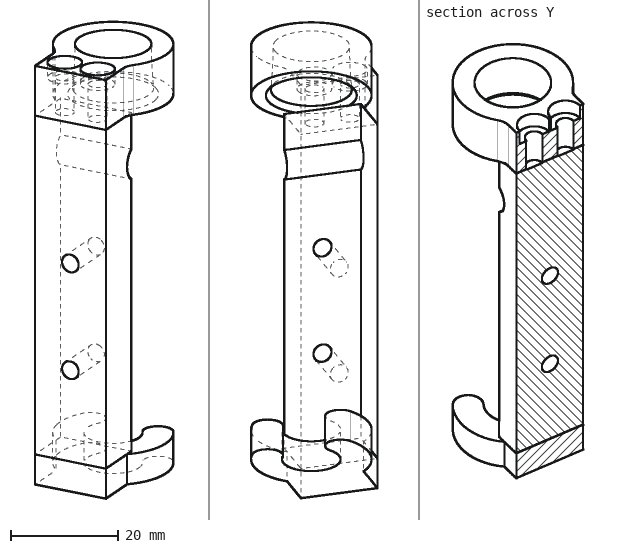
import cadquery as cq
import math

TOTAL_HEIGHT = 84.0
TOTAL_DEPTH = 27.9
BAR_WIDTH = 15.0
BAR_DEPTH = 10.0
RING_HEIGHT = 10.0
HOOK_HEIGHT = 6.05
OUTER_RADIUS = 11.25
RING_AXIS_Y = TOTAL_DEPTH - OUTER_RADIUS
RING_BOTTOM = TOTAL_HEIGHT - RING_HEIGHT

MOUTH_RADIUS = 7.1
FLARE_MIDDLE_RADIUS = 7.2
FLARE_BOTTOM_RADIUS = 7.6
UNDERSIDE_RADIUS = 8.5
CHAMFER_HEIGHT = 1.2
NECK_FILLET = 3.5

HOOK_INNER_RADIUS = 5.5
HOOK_TIP_ANGLE = math.radians(31)

SCREW_SPACING = 7.0
SCREW_Y = 4.2
SCREW_DIAMETER = 3.5
SCREW_HEAD_DIAMETER = 6.5
SCREW_HEAD_DEPTH = 3.0

CROSS_HOLE_DIAMETER = 3.5
CROSS_HOLE_HEIGHTS = (24.4, 45.8)
NOTCH_RADIUS = 3.5
NOTCH_DEPTH = 1.7
NOTCH_HEIGHT = 63.7


def block(depth, bottom, height):
    """Rectangular block of the bar's width, starting at the front face."""
    return (
        cq.Workplane("XY", origin=(0, depth / 2, bottom))
        .box(BAR_WIDTH, depth, height, centered=(True, True, False))
    )


def upright_cylinder(x, y, bottom, radius, height):
    return cq.Workplane("XY", origin=(x, y, bottom)).circle(radius).extrude(height)


def make_bore():
    """Cutter for the ring: a downward-flaring hole that ends in a chamfer at the underside."""
    chamfer_top = RING_BOTTOM + CHAMFER_HEIGHT
    middle_z = (chamfer_top + TOTAL_HEIGHT) / 2
    return (
        cq.Workplane("XZ", origin=(0, RING_AXIS_Y, 0))
        .moveTo(0, RING_BOTTOM)
        .lineTo(UNDERSIDE_RADIUS, RING_BOTTOM)
        .lineTo(FLARE_BOTTOM_RADIUS, chamfer_top)
        .threePointArc((FLARE_MIDDLE_RADIUS, middle_z), (MOUTH_RADIUS, TOTAL_HEIGHT))
        .lineTo(0, TOTAL_HEIGHT)
        .close().revolve(360, (0, 0), (0, 1))
    )


def make_ring():
    """Ring with a flared bore on a block held by two counterbored screws."""
    body = block(RING_AXIS_Y, RING_BOTTOM, RING_HEIGHT).union(
        upright_cylinder(0, RING_AXIS_Y, RING_BOTTOM, OUTER_RADIUS, RING_HEIGHT)
    )
    neck_y = RING_AXIS_Y - math.sqrt(OUTER_RADIUS**2 - (BAR_WIDTH / 2) ** 2)
    for side in (-1, 1):
        neck = (side * BAR_WIDTH / 2, neck_y, RING_BOTTOM + RING_HEIGHT / 2)
        body = body.edges(cq.selectors.NearestToPointSelector(neck)).fillet(NECK_FILLET)
    body = body.cut(make_bore())
    return (
        body.faces(">Z").workplane(origin=(0, SCREW_Y, TOTAL_HEIGHT))
        .rarray(SCREW_SPACING, 0.8, 2, 1)
        .cboreHole(SCREW_DIAMETER, SCREW_HEAD_DIAMETER, SCREW_HEAD_DEPTH)
    )


def make_bar():
    """Upright bar with two front-to-back holes and a round notch across its rear."""
    bar = block(BAR_DEPTH, HOOK_HEIGHT, RING_BOTTOM - HOOK_HEIGHT)
    for height in CROSS_HOLE_HEIGHTS:
        hole = (
            cq.Workplane("XZ", origin=(0, 0, height))
            .circle(CROSS_HOLE_DIAMETER / 2).extrude(-BAR_DEPTH)
        )
        bar = bar.cut(hole)
    notch_y = BAR_DEPTH - NOTCH_DEPTH + NOTCH_RADIUS
    notch = (
        cq.Workplane("YZ", origin=(0, notch_y, NOTCH_HEIGHT))
        .circle(NOTCH_RADIUS).extrude(BAR_WIDTH / 2, both=True)
    )
    return bar.cut(notch)


def make_hook():
    """Open cradle below the bar, its two arms ending in full-round tips."""
    def polar(radius, angle):
        return (radius * math.cos(angle), RING_AXIS_Y + radius * math.sin(angle))

    middle_radius = (OUTER_RADIUS + HOOK_INNER_RADIUS) / 2
    tip_radius = (OUTER_RADIUS - HOOK_INNER_RADIUS) / 2
    body = block(RING_AXIS_Y, 0, HOOK_HEIGHT).union(
        upright_cylinder(0, RING_AXIS_Y, 0, OUTER_RADIUS, HOOK_HEIGHT)
    )
    body = body.cut(upright_cylinder(0, RING_AXIS_Y, 0, HOOK_INNER_RADIUS, HOOK_HEIGHT))
    reach = 2 * OUTER_RADIUS
    right_x, right_y = polar(reach, HOOK_TIP_ANGLE)
    opening = (
        cq.Workplane("XY")
        .polyline([
            (0, RING_AXIS_Y),
            (right_x, right_y),
            (right_x, RING_AXIS_Y + reach),
            (-right_x, RING_AXIS_Y + reach),
            (-right_x, right_y),
        ])
        .close().extrude(HOOK_HEIGHT)
    )
    body = body.cut(opening)
    for tip_angle in (HOOK_TIP_ANGLE, math.pi - HOOK_TIP_ANGLE):
        tip_x, tip_y = polar(middle_radius, tip_angle)
        body = body.union(upright_cylinder(tip_x, tip_y, 0, tip_radius, HOOK_HEIGHT))
    return body


ring = make_ring()
bar = make_bar()
hook = make_hook()

result = cq.Compound.makeCompound([ring.val(), bar.val(), hook.val()])